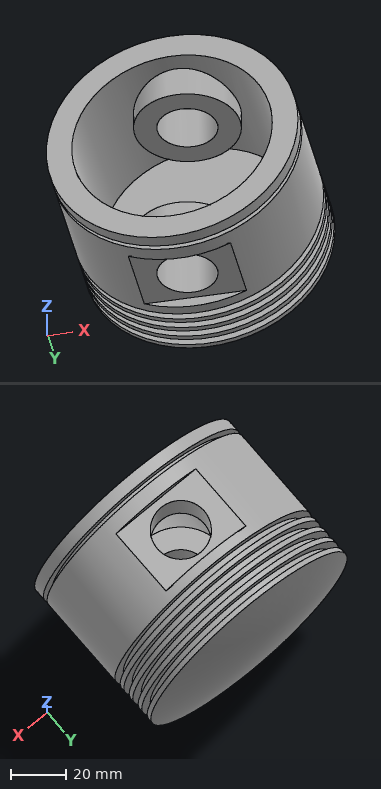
import cadquery as cq

piston_radius = 46.5
bore_radius = 37.0
bore_depth = 55.0
groove_depth = 4.0
groove_floor_radius = piston_radius - groove_depth

skirt_groove_start = 5.0
skirt_groove_width = 2.0
skirt_length = 45.0

ring_groove_count = 4
ring_groove_width = 3.0
land_width = 2.0
ring_pitch = ring_groove_width + land_width
crown_edge = skirt_length + ring_groove_count * ring_pitch
dome_height = 5.7

pin_position = 27.0
pin_hole_diameter = 22.0
boss_diameter = 39.0
boss_inner_face = 25.0
pad_length = 28.0


def make_body():
    """Revolve the solid outline, with its domed crown, about the Y axis."""
    dome_radius = (piston_radius**2 + dome_height**2) / (2 * dome_height)
    mid_radius = piston_radius / 2
    dome_center = crown_edge + dome_height - dome_radius
    mid_height = dome_center + (dome_radius**2 - mid_radius**2) ** 0.5
    return (
        cq.Workplane("XY")
        .lineTo(piston_radius, 0)
        .lineTo(piston_radius, crown_edge)
        .threePointArc((mid_radius, mid_height), (0, crown_edge + dome_height))
        .close()
        .revolve(360, (0, 0), (0, 1))
    )


def cylinder_along_y(radius, start, length):
    return cq.Workplane("XZ", origin=(0, start, 0)).circle(radius).extrude(-length)


def make_groove(start, width):
    """Ring of material to remove for one outer groove."""
    outer = cylinder_along_y(piston_radius + groove_depth, start, width)
    return outer.cut(cylinder_along_y(groove_floor_radius, start, width))


def make_bosses():
    """Two pin bosses, trimmed within the piston wall."""
    boss_length = piston_radius - boss_inner_face
    upper = (
        cq.Workplane("XY", origin=(0, pin_position, boss_inner_face))
        .circle(boss_diameter / 2)
        .extrude(boss_length)
    )
    both = upper.union(upper.mirror("XY"))
    trim_radius = (bore_radius + groove_floor_radius) / 2
    return both.intersect(cylinder_along_y(trim_radius, 0, bore_depth))


def make_pad_cut(side):
    """Block that mills a flat at one end of the pin; side is +1 or -1."""
    center = side * piston_radius
    return cq.Workplane("XY", origin=(0, pin_position, center)).box(
        2 * piston_radius, pad_length, 2 * groove_depth
    )


result = make_body().cut(cylinder_along_y(bore_radius, 0, bore_depth))
result = result.union(make_bosses())

result = result.cut(make_groove(skirt_groove_start, skirt_groove_width))
for index in range(ring_groove_count):
    result = result.cut(make_groove(skirt_length + index * ring_pitch, ring_groove_width))

for side in (1, -1):
    result = result.cut(make_pad_cut(side))

pin_hole = (
    cq.Workplane("XY", origin=(0, pin_position, 0))
    .circle(pin_hole_diameter / 2)
    .extrude(piston_radius, both=True)
)
result = result.cut(pin_hole)